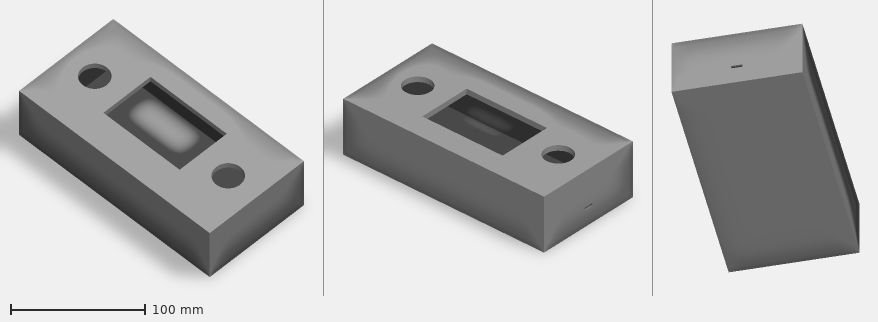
import cadquery as cq

length = 200.0
width = 100.0
height = 50.0
wall = 5.0

window_length = 80.0
window_width = 50.0
window_offset_y = 3.8

hole_diameter = 25.0
hole_spacing = 140.0

slot_width = 8.8
slot_height = 2.5
slot_bottom = 15.0


def base_block(size_x, size_y, size_z, bottom):
    """Block centred in X and Y with its underside at the given height."""
    block = cq.Workplane("XY").box(size_x, size_y, size_z, centered=(True, True, False))
    return block.translate((0, 0, bottom))


body = base_block(length, width, height, 0)
cavity = base_block(length - 2 * wall, width - 2 * wall, height - 2 * wall, wall)
body = body.cut(cavity)

lid_bottom = height - wall
window = base_block(window_length, window_width, wall, lid_bottom).translate((0, window_offset_y, 0))
holes = (
    cq.Workplane("XY", origin=(0, 0, lid_bottom))
    .pushPoints([(-hole_spacing / 2, 0), (hole_spacing / 2, 0)])
    .circle(hole_diameter / 2)
    .extrude(wall)
)
body = body.cut(window).cut(holes)

slot_center_x = -(length - wall) / 2
slot = base_block(wall, slot_width, slot_height, slot_bottom).translate((slot_center_x, 0, 0))
result = body.cut(slot)